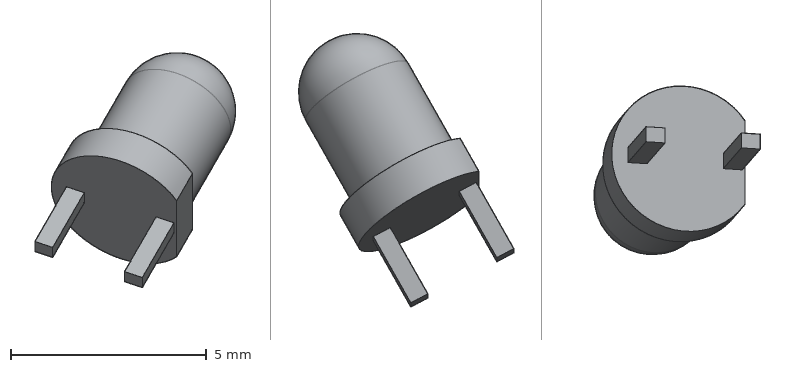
import cadquery as cq

total_length = 7.1
lead_length = 2.0
flange_thickness = 1.0
flange_radius = 1.925
flat_offset = 1.575
body_radius = 1.5
lead_width = 0.5
lead_height = 0.4
lead_spacing = 2 * body_radius - lead_width

dome_tip = total_length - lead_length
dome_base = dome_tip - body_radius


def make_flange():
    """Disc with one flat cut on its +X side."""
    disc = cq.Workplane("XZ").circle(flange_radius).extrude(-flange_thickness)
    keep_width = flange_radius + flat_offset
    keep = (
        cq.Workplane("XZ")
        .center(flat_offset - keep_width / 2, 0)
        .rect(keep_width, 2 * flange_radius)
        .extrude(-flange_thickness)
    )
    return disc.intersect(keep)


def make_domed_body():
    """Cylinder ending in a hemisphere, revolved about Y."""
    dome_middle = body_radius * 0.5 ** 0.5
    return (
        cq.Workplane("XY")
        .lineTo(body_radius, 0)
        .lineTo(body_radius, dome_base)
        .threePointArc((dome_middle, dome_base + dome_middle), (0, dome_tip))
        .close()
        .revolve(360, (0, 0), (0, 1))
    )


def make_leads():
    """Two rectangular leads projecting from the flange."""
    return (
        cq.Workplane("XZ")
        .rarray(lead_spacing, 0.07, 2, 1)
        .rect(lead_width, lead_height)
        .extrude(lead_length)
    )


result = make_flange().union(make_domed_body()).union(make_leads())